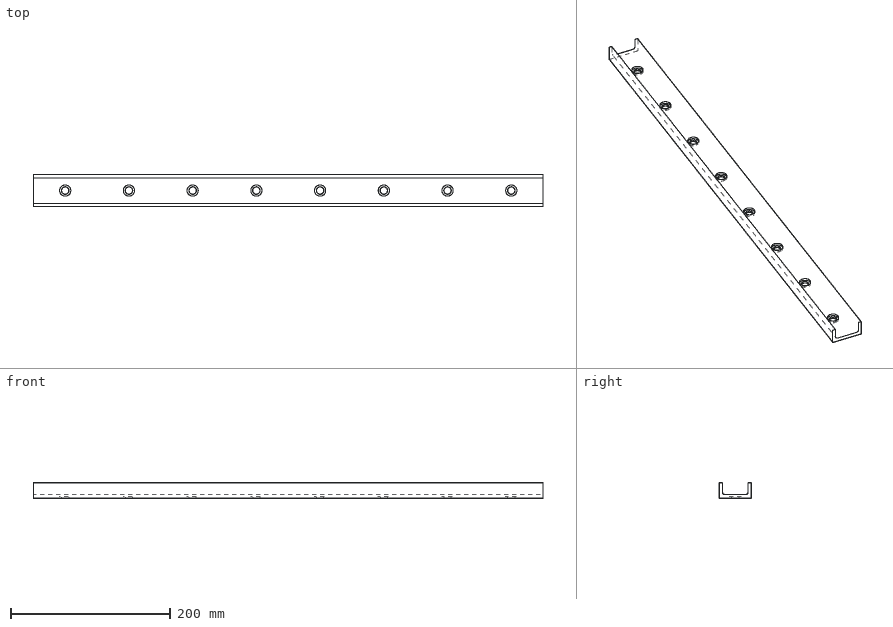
import cadquery as cq

length = 640.0
width = 40.0
height = 20.0
wall_thickness = 4.15
floor_thickness = 5.0
corner_radius = 3.0
edge_radius = 1.0

hole_count = 8
hole_pitch = length / hole_count
hole_diameter = 9.0
counterbore_diameter = 14.0
counterbore_depth = 2.5


def channel():
    """U-shaped channel, open upward, with rounded inner corners and lengthwise edges."""
    body = cq.Workplane("XY").box(length, width, height, centered=(True, True, False))
    inner_width = width - 2 * wall_thickness
    cavity = (
        cq.Workplane("XY")
        .workplane(offset=floor_thickness)
        .box(length, inner_width, height, centered=(True, True, False))
        .edges("|X and <Z")
        .fillet(corner_radius)
    )
    return (
        body.cut(cavity)
        .faces("<Z")
        .edges("|X")
        .fillet(edge_radius)
        .faces(">Z")
        .edges("|X")
        .fillet(edge_radius)
    )


def drill_floor(body):
    """Drill the evenly spaced row of holes, counterbored from the floor top."""
    floor_top = cq.Workplane("XY").workplane(offset=floor_thickness)
    centres = floor_top.rarray(hole_pitch, 6.5, hole_count, 1)
    bores = centres.circle(hole_diameter / 2).extrude(-floor_thickness)
    counterbores = centres.circle(counterbore_diameter / 2).extrude(-counterbore_depth)
    return body.cut(bores).cut(counterbores)


result = drill_floor(channel())